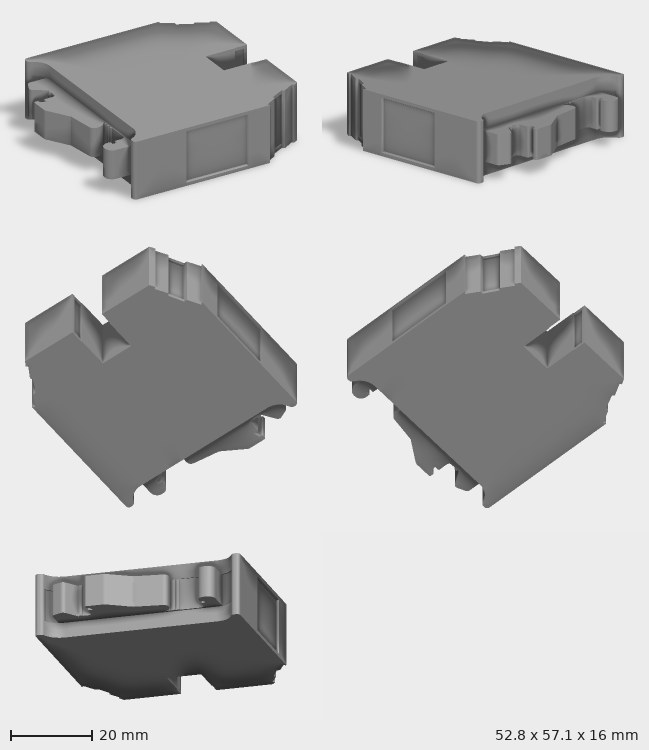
import cadquery as cq
import math


width = 52.8
length = 57.1
thickness = 16.0
half_width = width / 2
foot_bottom_y = 5.9
foot_outer_radius = 0.9
foot_tip_x = 25.1
foot_inner_radius = 1.0
rail_edge_y = 9.55
rail_edge_half_width = 19.65
rail_arc_radius = 4.9
rail_arc_angle = math.radians(67)

shoulder_y = 44.95
ledge_y = 47.85
label_foot_x = 23.0
label_head_x = 21.0
label_head_y = 51.6
shoulder_steps = [
    (half_width, shoulder_y),
    (26.15, shoulder_y),
    (25.8, 44.55),
    (23.9, ledge_y),
    (label_foot_x, ledge_y),
    (label_head_x, label_head_y),
    (21.5, 52.2),
    (19.6, 55.4),
    (20.1, 55.75),
    (19.25, length),
]

slot_half_width = 4.4
slot_mouth_half_width = 4.55
slot_floor_y = 45.0
slot_step_y = 53.5

pocket_height = 14.15
pocket_depth = 0.55
pocket_draft = 0.3
window_low_y = 20.9
window_high_y = 38.8
slot_pocket_high_y = 56.2

recess_offset = 0.3
recess_height = 8.35
recess_half_width = 24.1

clip_height = 8.0
clip_root_y = 11.4
clip_floor_y = 9.3
clip_left_x = -21.4

hook_side_low_y = 4.6
hook_shoulder_middle = (-21.25, 4.1)
hook_shoulder_end = (-20.75, 3.7)
hook_tip_start = (-18.75, 2.8)
hook_tip_middle = (-18.1, 2.8)
hook_tip_end = (-17.55, 3.25)

jaw_x = -11.8
jaw_floor_y = 6.4
jaw_floor_start_x = -15.35
jaw_corner_radius = 0.8
jaw_notch_low_x = -10.95
jaw_notch_low_y = 1.3
jaw_notch_high_x = -10.45
jaw_notch_high_y = 2.9
notch_lip_radius = 0.3
tip_chamfer = 0.35

heel_start = (-7.1, 0)
heel_middle = (-6.6, 0.05)
heel_end = (-6.2, 0.2)
underside_bend = (-0.3, 3.8)
nose_under_start = (6.85, 4.75)
nose_under_middle = (7.75, 5.2)
nose_x = 8.1
nose_flat_low_y = 6.05
nose_flat_high_y = 6.85
nose_top_middle = (7.4, 8.35)
nose_top_end_x = 6.1

leg_left_x = 16.5
leg_right_x = 20.85
leg_tip_flat = 0.3
leg_tip_radius = (leg_right_x - leg_left_x - leg_tip_flat) / 2
leg_tip_y = 2.0
leg_corner_radius = 1.3
leg_notch_x = 17.6
leg_notch_low_y = 4.95
leg_notch_high_y = 6.15

tooth_width = 0.6
tooth_height = 0.4
comb_first_x = 7.3
comb_pitch = 1.2
comb_count = 3
jaw_tooth_x = -14.55


def plate(outline, height):
    """Extrude a closed XY outline, centred on Z = 0."""
    return outline.close().extrude(height / 2, both=True)


def both_sides(solid):
    """Join a +X side feature with its mirror image."""
    return solid.union(solid.mirror("YZ"))


def arc_point(center, radius, angle):
    """Point on a circle, at an angle measured from +Y towards +X."""
    return (center[0] + radius * math.sin(angle), center[1] + radius * math.cos(angle))


rail_arc_center = (rail_edge_half_width, rail_edge_y - rail_arc_radius)


def make_housing():
    foot_center = (foot_tip_x, foot_bottom_y + foot_inner_radius)
    arc_end = arc_point(rail_arc_center, rail_arc_radius, rail_arc_angle)
    half = (
        cq.Workplane("XY")
        .moveTo(0, rail_edge_y)
        .lineTo(rail_edge_half_width, rail_edge_y)
        .threePointArc(arc_point(rail_arc_center, rail_arc_radius, rail_arc_angle / 2), arc_end)
        .lineTo(*arc_point(foot_center, foot_inner_radius, rail_arc_angle - math.pi))
        .threePointArc(
            arc_point(foot_center, foot_inner_radius, rail_arc_angle / 2 - math.pi),
            (foot_tip_x, foot_bottom_y),
        )
        .lineTo(half_width - foot_outer_radius, foot_bottom_y)
        .radiusArc((half_width, foot_bottom_y + foot_outer_radius), -foot_outer_radius)
    )
    for point in shoulder_steps:
        half = half.lineTo(*point)
    half = (
        half.lineTo(slot_mouth_half_width, length)
        .lineTo(slot_mouth_half_width, slot_step_y)
        .lineTo(slot_half_width, slot_step_y)
        .lineTo(slot_half_width, slot_floor_y)
        .lineTo(0, slot_floor_y)
    )
    return both_sides(plate(half, thickness))


def make_side_window():
    """Pocket in the side wall; all its walls are drafted except the -Y one."""
    outer_length = window_high_y - window_low_y
    inner_length = outer_length - pocket_draft
    return (
        cq.Workplane("YZ", origin=(half_width, 0, 0))
        .center(window_low_y + outer_length / 2, 0)
        .rect(outer_length, pocket_height)
        .workplane(offset=-pocket_depth)
        .center(-pocket_draft / 2, 0)
        .rect(inner_length, pocket_height - 2 * pocket_draft)
        .loft()
    )


def make_label_pocket():
    """Pocket in the sloping face between the ledge and the step above it."""
    outline = cq.Workplane("XY").polyline([
        (label_foot_x, ledge_y),
        (label_head_x, label_head_y),
        (label_head_x - pocket_depth, label_head_y),
        (label_foot_x - pocket_depth, ledge_y),
    ])
    return plate(outline, pocket_height)


def make_slot_pocket():
    """Pocket in the slot wall, next to the step in that wall."""
    pocket_length = slot_pocket_high_y - slot_step_y
    return cq.Workplane("XY").box(pocket_depth, pocket_length, pocket_height).translate(
        (slot_mouth_half_width + pocket_depth / 2, slot_step_y + pocket_length / 2, 0)
    )


def make_clip_recess():
    """Band concentric with the rail edge, set back into the housing."""
    radius = rail_arc_radius + recess_offset
    end_angle = math.asin((recess_half_width - rail_edge_half_width) / radius)
    half = (
        cq.Workplane("XY")
        .moveTo(0, rail_edge_y + recess_offset)
        .lineTo(rail_edge_half_width, rail_edge_y + recess_offset)
        .threePointArc(
            arc_point(rail_arc_center, radius, end_angle / 2),
            arc_point(rail_arc_center, radius, end_angle),
        )
        .lineTo(recess_half_width, foot_bottom_y)
        .lineTo(0, foot_bottom_y)
    )
    return both_sides(plate(half, recess_height))


def make_tooth(x, floor_y):
    """Tooth hanging below a floor, rooted one tooth height inside it."""
    return cq.Workplane("XY").box(tooth_width, 2 * tooth_height, clip_height).translate((x, floor_y, 0))


def make_clip():
    outline = (
        cq.Workplane("XY")
        .moveTo(clip_left_x, clip_root_y)
        .lineTo(clip_left_x, hook_side_low_y)
        .threePointArc(hook_shoulder_middle, hook_shoulder_end)
        .lineTo(*hook_tip_start)
        .threePointArc(hook_tip_middle, hook_tip_end)
        .lineTo(jaw_floor_start_x, jaw_floor_y)
        .lineTo(jaw_x - jaw_corner_radius, jaw_floor_y)
        .radiusArc((jaw_x, jaw_floor_y - jaw_corner_radius), jaw_corner_radius)
        .lineTo(jaw_x, jaw_notch_high_y + notch_lip_radius)
        .radiusArc((jaw_x + notch_lip_radius, jaw_notch_high_y), -notch_lip_radius)
        .lineTo(jaw_notch_high_x, jaw_notch_high_y)
        .lineTo(jaw_notch_low_x, jaw_notch_low_y)
        .lineTo(jaw_x + notch_lip_radius, jaw_notch_low_y)
        .radiusArc((jaw_x, jaw_notch_low_y - notch_lip_radius), -notch_lip_radius)
        .lineTo(jaw_x, tip_chamfer)
        .lineTo(jaw_x + tip_chamfer, 0)
        .lineTo(*heel_start)
        .threePointArc(heel_middle, heel_end)
        .lineTo(*underside_bend)
        .lineTo(*nose_under_start)
        .threePointArc(nose_under_middle, (nose_x, nose_flat_low_y))
        .lineTo(nose_x, nose_flat_high_y)
        .threePointArc(nose_top_middle, (nose_top_end_x, clip_floor_y))
        .lineTo(leg_left_x - leg_corner_radius, clip_floor_y)
        .radiusArc((leg_left_x, clip_floor_y - leg_corner_radius), leg_corner_radius)
        .lineTo(leg_left_x, leg_notch_high_y + notch_lip_radius)
        .radiusArc((leg_left_x + notch_lip_radius, leg_notch_high_y), -notch_lip_radius)
        .lineTo(leg_notch_x, leg_notch_high_y)
        .lineTo(leg_notch_x, leg_notch_low_y)
        .lineTo(leg_left_x, leg_notch_low_y)
        .lineTo(leg_left_x, leg_tip_y + leg_tip_radius)
        .radiusArc((leg_left_x + leg_tip_radius, leg_tip_y), -leg_tip_radius)
        .lineTo(leg_right_x - leg_tip_radius, leg_tip_y)
        .radiusArc((leg_right_x, leg_tip_y + leg_tip_radius), -leg_tip_radius)
        .lineTo(leg_right_x, clip_root_y)
    )
    clip = plate(outline, clip_height)
    for index in range(comb_count):
        clip = clip.union(make_tooth(comb_first_x + index * comb_pitch, clip_floor_y))
    return clip.union(make_tooth(jaw_tooth_x, jaw_floor_y))


housing = make_housing().cut(make_clip_recess())
for pocket in (make_side_window(), make_label_pocket(), make_slot_pocket()):
    housing = housing.cut(both_sides(pocket))
result = housing.union(make_clip())